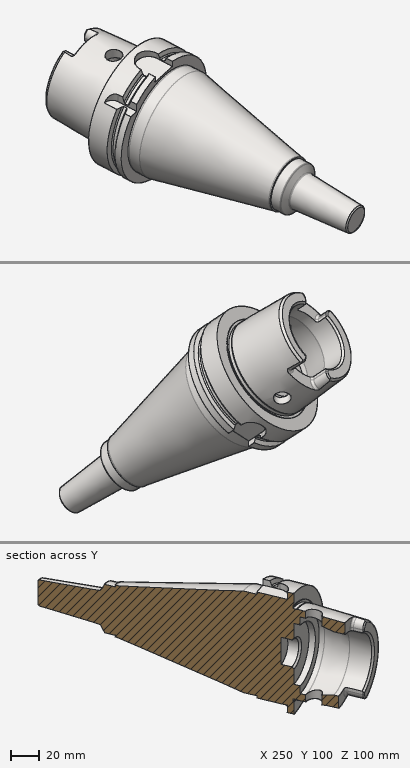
import cadquery as cq
import math

length = 250.0
flange_start = 50.0
flange_width = 29.0
flange_end = flange_start + flange_width
flange_radius = 50.0

taper = 1 / 20
shank_radius = 38.0
mouth_radius = shank_radius - taper * flange_start
mouth_chamfer_length = 2.0
mouth_chamfer_height = 1.2
relief_start = 47.2
relief_depth = 0.2
relief_slope_length = 0.8
root_recess_radius = 39.8
root_recess_depth = 0.8

bore_radius = 26.0
bore_lip_end = 18.8
bore_recess_radius = 31.5
bore_recess_end = 45.0
bore_recess_angle = 14.0
bore_floor_radius = 25.0
bore_depth = 50.0
bore_chamfer = 1.5
pilot_radius = 11.0
pilot_depth = 10.0
pilot_chamfer = 1.5

groove_x = 70.0
groove_width = 7.0
groove_floor_width = 2.5
groove_radius = 46.0
groove_corner_width = 4.5
groove_corner_height = 0.8

body_radius = 42.2
body_undercut = 0.12
body_undercut_width = 1.2
body_cone_start = 89.5
body_cone_end = 188.8
body_land_radius = 21.5
collar_start = 189.8
collar_end = 198.0
collar_radius = 20.2
collar_rounding = 0.8
nose_start = 201.5
nose_start_radius = 14.2
nose_tip_radius = 11.0
tip_chamfer = 1.0

drive_slot_width = 20.0
drive_slot_depth = 10.0
drive_slot_depth_lower = 15.0
drive_slot_rounding = 5.8
drive_slot_top = 32.5
drive_slot_overrun = 5.0
drive_slot_fillet = 1.8
drive_slot_chamfer = 1.0

cross_hole_x = 34.8
cross_hole_radius = 6.2

key_slot_start = 55.5
key_slot_width = 20.0
key_slot_floor = 44.0
notch_offset = 31.8
notch_radius = 7.0


def revolve_about_x(points):
    """Solid of revolution from (x, radius) points."""
    return cq.Workplane("XY").polyline(points).close().revolve(360, (0, 0, 0), (1, 0, 0))


def outer_body():
    groove_half = groove_width / 2
    groove_corner_half = groove_corner_width / 2
    groove_corner_radius = groove_radius + groove_corner_height
    groove_floor_half = groove_floor_width / 2
    relief_radius = mouth_radius + taper * relief_start - relief_depth
    body = revolve_about_x([
        (0, 0),
        (0, mouth_radius - mouth_chamfer_height),
        (mouth_chamfer_length, mouth_radius + taper * mouth_chamfer_length),
        (relief_start, mouth_radius + taper * relief_start),
        (relief_start + relief_slope_length, relief_radius),
        (flange_start + root_recess_depth, relief_radius),
        (flange_start + root_recess_depth, root_recess_radius),
        (flange_start, root_recess_radius),
        (flange_start, flange_radius),
        (groove_x - groove_half, flange_radius),
        (groove_x - groove_corner_half, groove_corner_radius),
        (groove_x - groove_floor_half, groove_radius),
        (groove_x + groove_floor_half, groove_radius),
        (groove_x + groove_corner_half, groove_corner_radius),
        (groove_x + groove_half, flange_radius),
        (flange_end, flange_radius),
        (flange_end, body_radius - body_undercut),
        (flange_end + body_undercut_width, body_radius),
        (body_cone_start, body_radius),
        (body_cone_end, body_land_radius),
        (collar_start, body_land_radius),
        (collar_start, collar_radius),
        (collar_end, collar_radius),
        (nose_start, nose_start_radius),
        (length - tip_chamfer, nose_tip_radius),
        (length, nose_tip_radius - tip_chamfer),
        (length, 0),
    ])
    nose_cone_ends = cq.selectors.BoxSelector(
        (collar_end - collar_rounding, -flange_radius, -flange_radius),
        (nose_start + collar_rounding, flange_radius, flange_radius),
        boundingbox=True,
    )
    return body.edges(nose_cone_ends).edges("%CIRCLE").fillet(collar_rounding)


def bore():
    flare_length = (bore_recess_radius - bore_radius) / math.tan(math.radians(bore_recess_angle))
    return revolve_about_x([
        (0, 0),
        (0, bore_radius + bore_chamfer),
        (bore_chamfer, bore_radius),
        (bore_lip_end, bore_radius),
        (bore_lip_end + flare_length, bore_recess_radius),
        (bore_recess_end, bore_recess_radius),
        (bore_recess_end, bore_floor_radius),
        (bore_depth, bore_floor_radius),
        (bore_depth, pilot_radius + pilot_chamfer),
        (bore_depth + pilot_chamfer, pilot_radius),
        (bore_depth + pilot_depth, pilot_radius),
        (bore_depth + pilot_depth, 0),
    ])


def drive_slot_profile(side, growth):
    """Slot outline on the +Z (side = 1) or -Z (side = -1) half, offset outwards by growth."""
    half = drive_slot_width / 2 + growth
    rounding = drive_slot_rounding - growth
    wide = half + rounding
    lip = drive_slot_top - drive_slot_rounding
    top = lip + rounding
    mid = rounding * math.sqrt(0.5)
    return (
        cq.Workplane("YZ")
        .moveTo(-half, 0)
        .lineTo(half, 0)
        .lineTo(half, side * lip)
        .threePointArc((wide - mid, side * (lip + mid)), (wide, side * top))
        .lineTo(wide + drive_slot_overrun, side * top)
        .lineTo(wide + drive_slot_overrun, side * flange_radius)
        .lineTo(-wide - drive_slot_overrun, side * flange_radius)
        .lineTo(-wide - drive_slot_overrun, side * top)
        .lineTo(-wide, side * top)
        .threePointArc((mid - wide, side * (lip + mid)), (-half, side * lip))
        .close()
    )


def drive_slot(depth, side):
    """Cutter for one drive slot, with rounded outer lips, a filleted floor and a chamfered mouth."""
    slot = drive_slot_profile(side, 0).extrude(depth).faces(">X").edges().fillet(drive_slot_fillet)
    mouth = drive_slot_profile(side, drive_slot_chamfer).extrude(drive_slot_chamfer, taper=45)
    return slot.union(mouth)


def cross_hole():
    return (
        cq.Workplane("XY", origin=(cross_hole_x, 0, -flange_radius))
        .circle(cross_hole_radius)
        .extrude(2 * flange_radius)
    )


def key_slot(side):
    """Round-ended flat slot through the rear rim of the flange on the +Z or -Z side."""
    half = key_slot_width / 2
    return (
        cq.Workplane("XY", origin=(0, 0, side * key_slot_floor))
        .moveTo(flange_end, -half)
        .lineTo(key_slot_start + half, -half)
        .threePointArc((key_slot_start, 0), (key_slot_start + half, half))
        .lineTo(flange_end, half)
        .close()
        .extrude(side * (flange_radius - key_slot_floor))
    )


def orientation_notch():
    """Square corner notch in the -Y, +Z rim of the flange, ending in a round run-out."""
    return (
        cq.Workplane("XY", origin=(0, 0, notch_offset))
        .moveTo(flange_end, -notch_offset)
        .lineTo(key_slot_start + notch_radius, -notch_offset)
        .radiusArc((key_slot_start, -notch_offset - notch_radius), -notch_radius)
        .lineTo(key_slot_start, -flange_radius)
        .lineTo(flange_end, -flange_radius)
        .close()
        .extrude(flange_radius - notch_offset)
    )


result = (
    outer_body()
    .cut(bore())
    .cut(drive_slot(drive_slot_depth, 1))
    .cut(drive_slot(drive_slot_depth_lower, -1))
    .cut(cross_hole())
    .cut(key_slot(1))
    .cut(key_slot(-1))
    .cut(orientation_notch())
)